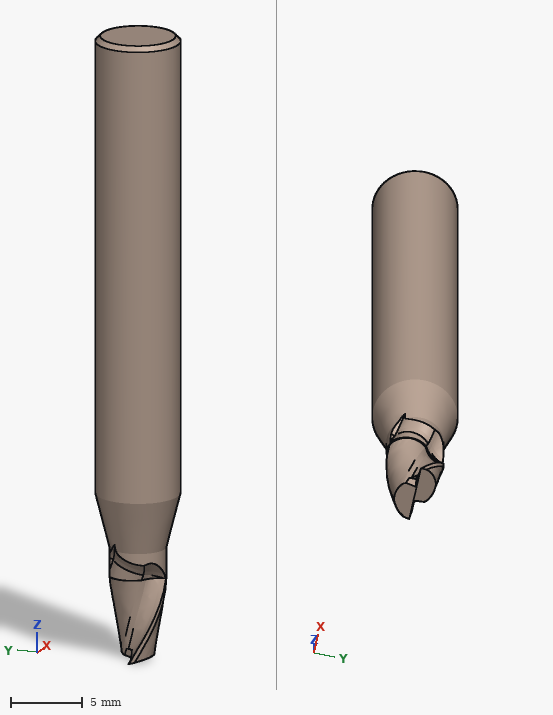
import cadquery as cq
import math

overall_length = 45.0
shank_diameter = 6.0
cutter_diameter = 4.0
cut_length = 5.85
neck_top = 8.0
cone_top = 11.92
chamfer_width = 0.35
helix_angle = 30.0

land_angle = 10.0
back_crest = (0.35, 1.25)
heel = (-0.45, 0.95)
rake_root = (-1.58, 0.05)
gullet_mid = (-1.05, 0.292)
gullet_end = (-0.7, 0.6)
flute_outer = 3.15

runout_stages = [(1.75, 0.1), (0.35, 0.2), (2.48, 2.15)]
runout_overlap = 1.12
runout_tilt = 20.0

end_relief_angle = 16.0
gash_inner = 0.55
gash_outer = 1.6
gash_lean = 0.22
gash_height = 0.75
gash_face = 0.068

shank_radius = shank_diameter / 2
cutter_radius = cutter_diameter / 2
helix_lead = 2 * math.pi * cutter_radius / math.tan(math.radians(helix_angle))


def twist_at(height):
    """Flute rotation, in degrees, accumulated over a height."""
    return 360.0 * height / helix_lead


def polar(radius, angle):
    """Point at a radius and an angle in degrees."""
    return (radius * math.cos(math.radians(angle)), radius * math.sin(math.radians(angle)))


def turned(shape, angle):
    """Shape turned about the tool axis."""
    return shape.rotate((0, 0, 0), (0, 0, 1), angle)


def flute_outline():
    """Closed section of one flute at the end face, reaching beyond the cutter."""
    return (
        cq.Workplane("XY")
        .moveTo(-cutter_radius, 0)
        .lineTo(*rake_root)
        .threePointArc(gullet_mid, gullet_end)
        .lineTo(*heel)
        .threePointArc(back_crest, polar(cutter_radius, land_angle))
        .lineTo(*polar(flute_outer, land_angle))
        .threePointArc((0, flute_outer), (-flute_outer, 0))
        .close()
    )


def helical_flute():
    """Space swept by one flute over the cutting length."""
    return flute_outline().twistExtrude(cut_length, twist_at(cut_length))


def flute_runout():
    """Space that carries one flute on into the neck while moving out toward -X.

    It starts below the neck, and tilts so that its heel side runs out higher.
    """
    pivot = (0, 0, cut_length)
    pivot_end = (1, 0, cut_length)
    section = cq.Face.makeFromWires(flute_outline().wires().val())
    section = section.rotate(cq.Vector(0, 0, 0), cq.Vector(0, 0, 1), twist_at(cut_length))
    section = section.translate(cq.Vector(0, 0, cut_length - runout_overlap))
    stages = []
    for rise, shift in runout_stages:
        travel = cq.Vector(-shift, 0, rise)
        stage = cq.Workplane(cq.Solid.extrudeLinear(section, travel))
        stages.append(stage.rotate(pivot, pivot_end, runout_tilt))
        section = section.translate(travel)
    return stages


def make_shank():
    """Chamfered shank, taper and neck with the two flute run-outs."""
    body = (
        cq.Workplane("XZ")
        .moveTo(0, cut_length)
        .lineTo(cutter_radius, cut_length)
        .lineTo(cutter_radius, neck_top)
        .lineTo(shank_radius, cone_top)
        .lineTo(shank_radius, overall_length - chamfer_width)
        .lineTo(shank_radius - chamfer_width, overall_length)
        .lineTo(0, overall_length)
        .close()
        .revolve(360, (0, 0, 0), (0, 1, 0))
    )
    for side_angle in (0, 180):
        for stage in flute_runout():
            body = body.cut(turned(stage, side_angle))
    return body


def end_relief():
    """Wedge below the end face, sloping up from the cutting edge."""
    reach = 2 * cutter_radius
    return (
        cq.Workplane("YZ")
        .polyline([(0, 0), (reach, 0), (reach, reach * math.tan(math.radians(end_relief_angle)))])
        .close()
        .extrude(reach, both=True)
    )


def end_gash():
    """Small leaning notch that clears the gullet beside a cutting edge's end."""
    return (
        cq.Workplane("XZ", origin=(0, -gash_face, 0))
        .moveTo(gash_inner, 0)
        .lineTo(gash_inner + gash_lean, gash_height)
        .lineTo(gash_outer, gash_height)
        .lineTo(gash_outer, 0)
        .close()
        .extrude(cutter_radius)
    )


def make_cutter():
    """Two-flute helical cutting head with a relieved end."""
    head = cq.Workplane("XY").circle(cutter_radius).extrude(cut_length)
    for side_angle in (0, 180):
        for tool in (helical_flute(), end_relief(), end_gash()):
            head = head.cut(turned(tool, side_angle))
    return head


shank = make_shank()
cutter = make_cutter()
result = cq.Compound.makeCompound([shank.val(), cutter.val()])